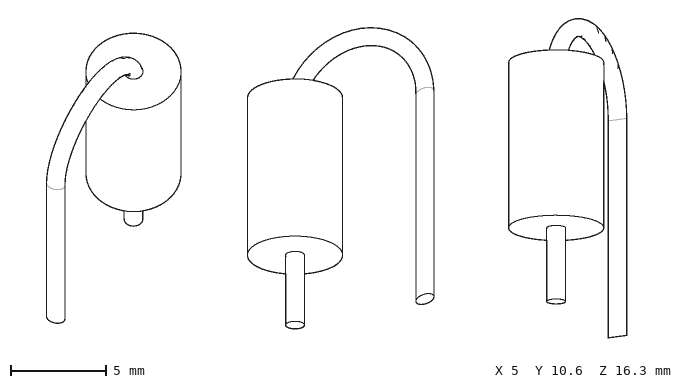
import cadquery as cq
import math

housing_diameter = 5.0
housing_height = 9.0

wire_diameter = 1.0
lead_length = 4.0
lead_spacing = 7.61

bend_drop = 1.2

wire_radius = wire_diameter / 2
bend_radius = (lead_spacing**2 + bend_drop**2) / (2 * lead_spacing)
bend_lean = math.asin(bend_drop / bend_radius)
bend_sweep = 180 - math.degrees(bend_lean)
bend_end_z = housing_height - bend_drop
bend_center_y = bend_radius - lead_spacing


def make_housing():
    return cq.Workplane("XY").circle(housing_diameter / 2).extrude(housing_height)


def make_straight_lead():
    """Vertical pin under the housing, touching its bottom face."""
    return cq.Workplane("XY").circle(wire_radius).extrude(-lead_length)


def make_bend():
    """Horizontal circle on the housing top, turned about the center of the bend."""
    axis_start = (0, bend_center_y, -bend_drop)
    axis_end = (1, bend_center_y, -bend_drop)
    return (
        cq.Workplane("XY", origin=(0, 0, housing_height))
        .circle(wire_radius)
        .revolve(bend_sweep, axis_start, axis_end)
    )


def make_leg():
    """Vertical leg whose two end faces lean like the end of the bend."""
    end_center = cq.Vector(0, -lead_spacing, bend_end_z)
    end_normal = cq.Vector(0, -math.sin(bend_lean), -math.cos(bend_lean))
    section = cq.Wire.makeCircle(wire_radius, end_center, end_normal)
    down = cq.Vector(0, 0, -(bend_end_z + lead_length))
    return cq.Workplane(cq.Solid.extrudeLinear(section, [], down))


def make_bent_lead():
    """Bend and leg are one continuous wire."""
    return make_bend().union(make_leg())


housing = make_housing()
straight_lead = make_straight_lead()
bent_lead = make_bent_lead()

result = cq.Compound.makeCompound([
    *housing.vals(),
    *straight_lead.vals(),
    *bent_lead.vals(),
])